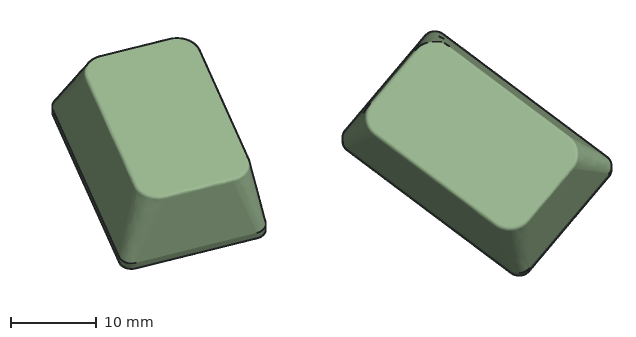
import cadquery as cq

length = 27.5
width = 18.0
height = 9.0
skirt_height = 1.0
base_radius = 1.5

side_inset = 2.0
front_inset = 3.0
back_inset = 1.0
top_radius = 2.9
edge_radius = 0.4

top_length = length - 2 * side_inset
top_width = width - front_inset - back_inset
top_offset_y = (front_inset - back_inset) / 2


def rounded_rectangle(size_x, size_y, radius):
    """Sketch of a rectangle with round corners, centred on the origin."""
    return cq.Sketch().rect(size_x, size_y).vertices().fillet(radius)


base_outline = rounded_rectangle(length, width, base_radius)
top_outline = rounded_rectangle(top_length, top_width, top_radius)

skirt = cq.Workplane("XY").placeSketch(base_outline).extrude(skirt_height)

top_location = cq.Location(cq.Vector(0, top_offset_y, height - skirt_height))
cap = (
    cq.Workplane("XY", origin=(0, 0, skirt_height))
    .placeSketch(base_outline, top_outline.moved(top_location))
    .loft(ruled=True)
)

cap = cap.faces(">Z").edges().fillet(edge_radius)

result = skirt.union(cap)